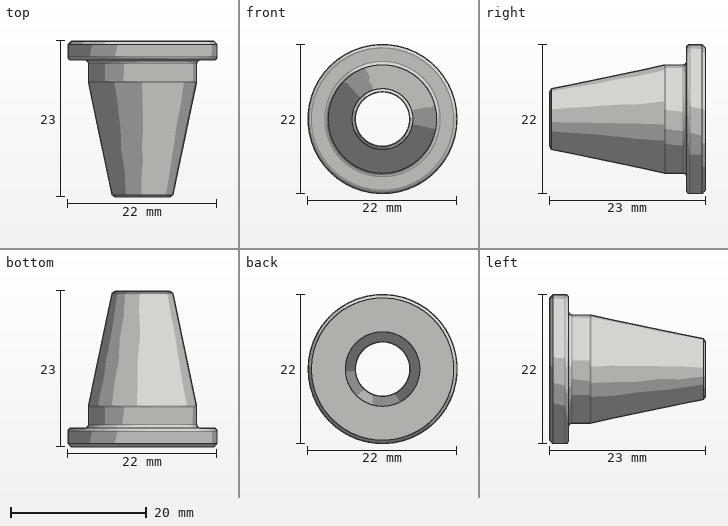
import cadquery as cq
import math

total_length = 23.0
flange_diameter = 22.0
flange_thickness = 2.8
collar_diameter = 16.0
collar_end = 6.0
tip_diameter = 9.0
bore_tip_diameter = 8.0
bore_back_diameter = 11.0
edge_size = 0.5
tip_bevel_length = 0.3
cone_blend_radius = 0.7

flange_radius = flange_diameter / 2
collar_radius = collar_diameter / 2
tip_radius = tip_diameter / 2
bore_tip_radius = bore_tip_diameter / 2
bore_back_radius = bore_back_diameter / 2
arc_inset = edge_size * (1 - 0.5 ** 0.5)
tip_bevel_start = total_length - tip_bevel_length

cone_angle = math.atan2(collar_radius - tip_radius, tip_bevel_start - collar_end)
blend_setback = cone_blend_radius * math.tan(cone_angle / 2)
blend_start = (collar_radius, -collar_end + blend_setback)
blend_end = (
    collar_radius - blend_setback * math.sin(cone_angle),
    -collar_end - blend_setback * math.cos(cone_angle),
)

half_section = (
    cq.Workplane("XY")
    .moveTo(bore_back_radius, 0)
    .lineTo(flange_radius - edge_size, 0)
    .lineTo(flange_radius, -edge_size)
    .lineTo(flange_radius, -flange_thickness + edge_size)
    .threePointArc(
        (flange_radius - arc_inset, -flange_thickness + arc_inset),
        (flange_radius - edge_size, -flange_thickness),
    )
    .lineTo(collar_radius + edge_size, -flange_thickness)
    .threePointArc(
        (collar_radius + arc_inset, -flange_thickness - arc_inset),
        (collar_radius, -flange_thickness - edge_size),
    )
    .lineTo(*blend_start)
    .tangentArcPoint(blend_end, relative=False)
    .lineTo(tip_radius, -tip_bevel_start)
    .lineTo(bore_tip_radius, -total_length)
    .close()
)

result = half_section.revolve(360, (0, 0, 0), (0, 1, 0))